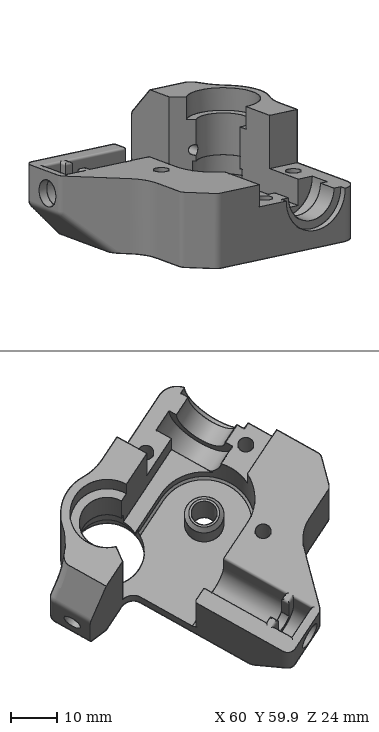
import cadquery as cq
import math

column_top = 24.0
block_top = 17.0
deck_top = 12.0
ledge_top = 6.05
pocket_floor = 3.2

right_x = 60.0
left_x = 16.0
arm_front_y = 41.05
arm_back_y = 52.0
back_y = 57.35
foot_y = 13.4
slant_start_x = 28.5
corner_chamfer = 5.7
back_corner_radius = 4.5
slant_blend_radius = 9.0
arm_root_radius = 3.0
edge_radius = 2.0
arm_chamfer = 6.65
front_chamfer = 8.0

bore_x = 21.4
bore_y = 49.8
column_radius = 10.1
arm_blend_radius = 13.2
back_blend_radius = 12.0
seat_diameter = 16.1
bore_diameter = 12.0
relief_diameter = 13.45
top_seat_depth = 5.1
bottom_seat_depth = 5.0
relief_top = 9.5
column_end_x = 38.0
split_start = (13.5, arm_front_y)
split_end = (17.05, 45.8)

pocket_x = column_end_x
pocket_y = 35.3
pocket_radius = 11.0
pocket_chamfer_width = 0.6
pocket_chamfer_height = 0.4
wall_end_radius = 0.6
boss_diameter = 8.6
boss_top = 9.0
boss_chamfer = 0.95
boss_hole_diameter = 5.6

deck_front_y = 30.3
cradle_y = 45.6
cradle_start_x = 48.2
cradle_diameter = 16.1
collar_diameter = 12.35
collar_start_x = 53.5
collar_end_x = 58.4

channel_x = 24.0
channel_width = 7.9
channel_start_y = 8.6
nut_width = 8.05
nut_start_y = 2.1
nut_end_y = 6.6
gap_width = 4.5
gap_floor_diameter = 5.6
mouth_radius = 0.55
front_hole_diameter = 6.0

screw_diameter = 3.4
screw_places = [(42.5, 52.8), (55.3, pocket_y), (column_end_x, 20.35)]
arm_screw_y = cradle_y
arm_screw_diameter = 2.4
arm_insert_diameter = 4.15
arm_insert_depth = 6.0


def block(x0, x1, y0, y1, z0, z1):
    return cq.Workplane("XY").box(x1 - x0, y1 - y0, z1 - z0, centered=False).translate((x0, y0, z0))


def upright(x, y, diameter, z0, z1):
    return cq.Workplane("XY", origin=(x, y, z0)).circle(diameter / 2).extrude(z1 - z0)


def along_x(y, diameter, x0, x1):
    return cq.Workplane("YZ", origin=(x0, y, deck_top)).circle(diameter / 2).extrude(x1 - x0)


def along_y(diameter, y0, y1):
    return cq.Workplane("XZ", origin=(channel_x, y0, deck_top)).circle(diameter / 2).extrude(y0 - y1)


def blend_arc(edge_y, blend_radius, side):
    """Contact, middle and end points of the concave arc from the column to a straight edge.

    side is -1 for the edge left of the column and 1 for the edge right of it.
    """
    reach = column_radius + blend_radius
    rise = edge_y + blend_radius - bore_y
    run = math.sqrt(reach**2 - rise**2)
    center = cq.Vector(bore_x + side * run, edge_y + blend_radius)
    to_column = cq.Vector(bore_x, bore_y) - center
    to_edge = cq.Vector(0, -1)
    to_middle = (to_column.normalized() + to_edge).normalized()
    points = [center + way.normalized() * blend_radius for way in (to_column, to_middle, to_edge)]
    return [(point.x, point.y) for point in points]


def vertical_edge(body, x, y, radius):
    """Rounds the upright edge that stands at the given place."""
    tiny = 0.05
    pick = cq.selectors.BoxSelector((x - tiny, y - tiny, -0.6), (x + tiny, y + tiny, column_top + 0.6))
    return body.edges("|Z").edges(pick).fillet(radius)


def body_blank():
    left_contact, left_middle, left_end = blend_arc(arm_back_y, arm_blend_radius, -1)
    right_contact, right_middle, right_end = blend_arc(back_y, back_blend_radius, 1)
    slant_end_x = slant_start_x + foot_y
    corner_x = right_x - corner_chamfer
    body = (
        cq.Workplane("XY")
        .moveTo(left_x, 0)
        .lineTo(slant_start_x, 0)
        .lineTo(slant_end_x, foot_y)
        .lineTo(corner_x, foot_y)
        .lineTo(right_x, foot_y + corner_chamfer)
        .lineTo(right_x, back_y)
        .lineTo(*right_end)
        .threePointArc(right_middle, right_contact)
        .threePointArc((bore_x, bore_y + column_radius), left_contact)
        .threePointArc(left_middle, left_end)
        .lineTo(0, arm_back_y)
        .lineTo(0, arm_front_y)
        .lineTo(left_x, arm_front_y)
        .close()
        .extrude(column_top)
    )
    body = vertical_edge(body, slant_end_x, foot_y, slant_blend_radius)
    body = vertical_edge(body, corner_x, foot_y, edge_radius)
    body = vertical_edge(body, right_x, foot_y + corner_chamfer, edge_radius)
    body = vertical_edge(body, right_x, back_y, back_corner_radius)
    return vertical_edge(body, left_x, arm_front_y, arm_root_radius)


def shape_arm_end(body):
    """Chamfers the arm above and below, then rounds its end and its back corner."""
    body = body.faces("<X").edges("|Y").chamfer(arm_chamfer)
    slack = 0.3
    back_edges = body.edges(
        cq.selectors.BoxSelector(
            (-0.6, arm_back_y - slack, -0.6),
            (arm_chamfer, arm_back_y + slack, column_top + 0.6),
        )
    )
    edges = body.faces("<X").edges("|Y").vals() + back_edges.vals()
    return body.newObject(edges).fillet(edge_radius)


def shape_front_end(body):
    """Bevels the bottom of the front end, then rounds the bevel and the upright edges."""
    margin = 0.6
    bevel = (
        cq.Workplane("YZ")
        .polyline([(-margin, -margin), (front_chamfer + margin, -margin), (-margin, front_chamfer + margin)])
        .close()
        .extrude(right_x)
    )
    body = body.cut(bevel)
    bevel_edges = body.faces(cq.selectors.ParallelDirSelector(cq.Vector(0, -1, -1))).edges("not(<Z)")
    upright_edges = body.faces("<Y").edges("|Z")
    return body.newObject(bevel_edges.vals() + upright_edges.vals()).fillet(edge_radius)


def level_cuts():
    """Room above the front block and above the right-hand deck."""
    front = block(0, right_x, 0, deck_front_y, block_top, column_top)
    deck = block(column_end_x, right_x, deck_front_y, right_x, deck_top, column_top)
    return front.union(deck)


def pocket_cut():
    """Round-ended pocket, open to the left, with a chamfer around its floor."""
    y0 = pocket_y - pocket_radius
    y1 = pocket_y + pocket_radius
    slot = (
        cq.Workplane("XY", origin=(0, 0, pocket_floor))
        .moveTo(0, y0)
        .lineTo(pocket_x, y0)
        .threePointArc((pocket_x + pocket_radius, pocket_y), (pocket_x, y1))
        .lineTo(0, y1)
        .close()
        .extrude(column_top - pocket_floor)
        .faces("<Z")
        .edges()
        .chamfer(pocket_chamfer_height, pocket_chamfer_width)
    )
    slope = (split_end[0] - split_start[0]) / (split_end[1] - split_start[1])
    split_top_x = split_start[0] + slope * (y1 - split_start[1])
    right_of_split = (
        cq.Workplane("XY")
        .polyline([(split_start[0], 0), split_start, (split_top_x, y1), (right_x, y1), (right_x, 0)])
        .close()
        .extrude(column_top)
    )
    return slot.intersect(right_of_split)


def ledge_cut():
    return block(bore_x, cradle_start_x, pocket_y, bore_y, ledge_top, column_top)


def bore_cut():
    """Stepped vertical bore with a seat at each end."""
    bore = upright(bore_x, bore_y, bore_diameter, 0, column_top)
    relief = upright(bore_x, bore_y, relief_diameter, 0, relief_top)
    bottom_seat = upright(bore_x, bore_y, seat_diameter, 0, bottom_seat_depth)
    top_seat = upright(bore_x, bore_y, seat_diameter, column_top - top_seat_depth, column_top)
    return bore.union(relief).union(bottom_seat).union(top_seat)


def cradle_cut():
    """Half-round seat along X with a narrower collar near its outer end."""
    inner = along_x(cradle_y, cradle_diameter, cradle_start_x, collar_start_x)
    collar = along_x(cradle_y, collar_diameter, collar_start_x, collar_end_x)
    outer = along_x(cradle_y, cradle_diameter, collar_end_x, right_x)
    return inner.union(collar).union(outer)


def trough(width, floor_diameter, y0, y1):
    """Round-bottomed opening along Y, from the top of the front block."""
    half = width / 2
    walls = block(channel_x - half, channel_x + half, y0, y1, deck_top, block_top)
    bed = block(channel_x - half, channel_x + half, y0, y1, 0, deck_top)
    bed = bed.intersect(along_y(floor_diameter, y0, y1))
    return walls.union(bed)


def channel_cut():
    """Spring channel and nut pocket, joined by a narrow gap, with a hole to the front."""
    spring = trough(channel_width, channel_width, channel_start_y, pocket_y - pocket_radius)
    nut = trough(nut_width, nut_width, nut_start_y, nut_end_y)
    gap = trough(gap_width, gap_floor_diameter, nut_end_y, channel_start_y)
    front_hole = along_y(front_hole_diameter, 0, nut_end_y)
    return spring.union(nut).union(gap).union(front_hole)


def round_channel_mouth(body):
    """Rounds the top edges all along the channel."""
    reach = nut_width / 2 + 0.05
    pick = cq.selectors.BoxSelector(
        (channel_x - reach, nut_start_y - 0.05, block_top - 0.05),
        (channel_x + reach, pocket_y - pocket_radius - 0.05, block_top + 0.05),
    )
    return body.edges(pick).fillet(mouth_radius)


def arm_screw_cut():
    insert = along_x(arm_screw_y, arm_insert_diameter, 0, arm_insert_depth)
    return insert.union(along_x(arm_screw_y, arm_screw_diameter, 0, bore_x))


def boss():
    body = upright(pocket_x, pocket_y, boss_diameter, 0, boss_top)
    return body.faces(">Z").edges().chamfer(boss_chamfer)


result = shape_arm_end(body_blank())
result = shape_front_end(result.cut(level_cuts()))
result = result.cut(pocket_cut())
result = vertical_edge(result, left_x, pocket_y - pocket_radius, wall_end_radius)
result = round_channel_mouth(result.cut(channel_cut()))
for cutter in (ledge_cut(), bore_cut(), cradle_cut(), arm_screw_cut()):
    result = result.cut(cutter)
result = result.union(boss())
result = result.cut(upright(pocket_x, pocket_y, boss_hole_diameter, 0, boss_top))
for hole_x, hole_y in screw_places:
    result = result.cut(upright(hole_x, hole_y, screw_diameter, 0, column_top))